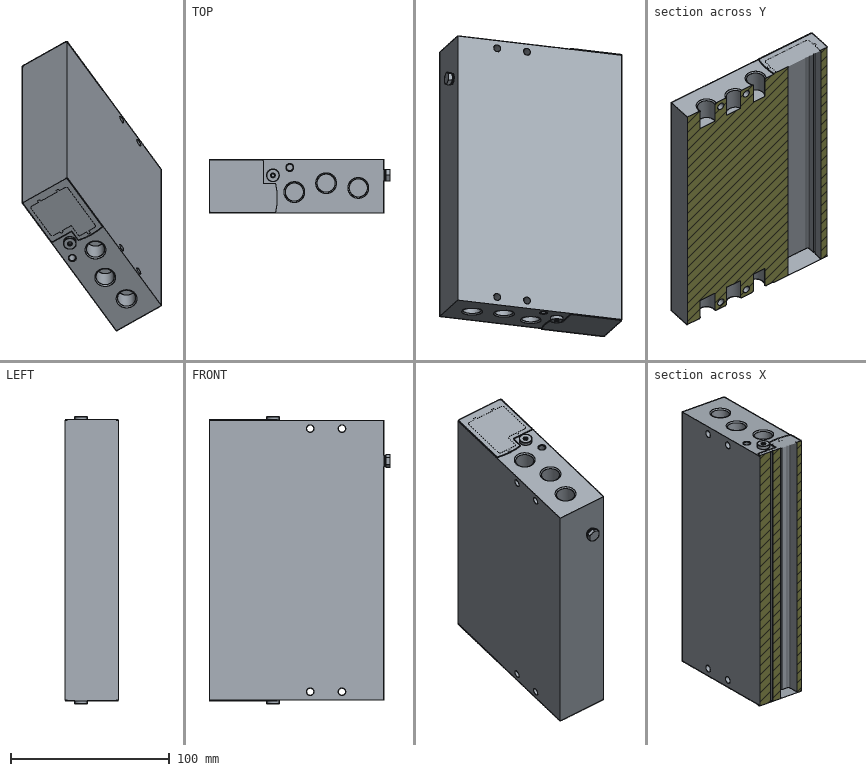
import cadquery as cq
import math

total_height = 181.0
screw_head_height = 2.4
housing_length = 110.0
housing_depth = 33.8
housing_height = total_height - 2 * screw_head_height
end_face = housing_height / 2

pad_height = 0.6
pad_inset = 0.3
pad_corner_radius = 1.0
pad_short_length = 34.1
pad_long_length = 41.8
pad_arc_bulge = 1.0
pad_step_y = 18.5

chamber_lid = 0.7
chamber_height = housing_height + 2 * (pad_height - chamber_lid)
chamber_left = 5.4
chamber_front = 3.7
chamber_back = 31.2
chamber_step_y = 16.6
chamber_short_right = 30.6
chamber_long_right = 39.7
chamber_corner_radius = 1.5
guide_slot_width = 1.6
guide_slot_depth = 1.3
long_guide_slot_depth = 1.9
back_guide_y = 24.1
front_guide_y = 10.1

port_diameter = 11.45
port_mouth_diameter = 13.1
port_chamfer = (port_mouth_diameter - port_diameter) / 2
port_depth = 15.0
port_centres = [(53.6, 13.2), (73.6, 18.8), (93.9, 15.8)]

pilot_diameter = 4.13
pilot_mouth_diameter = 5.0
pilot_chamfer = (pilot_mouth_diameter - pilot_diameter) / 2
pilot_depth = 8.0
pilot_centre = (50.7, 28.7)

mounting_diameter = 4.5
mounting_xs = [63.6, 83.6]
mounting_z = end_face - 5.2

screw_head_diameter = 8.0
screw_edge_chamfer = 0.15
screw_socket_flats = 2.0
screw_socket_depth = 1.5
screw_socket_mouth_diameter = 3.0
screw_socket_mouth_angle = 45
screw_socket_mouth_depth = (screw_socket_mouth_diameter - screw_socket_flats) / 2
screw_centre = (40.1, 23.7)

plug_length = 4.0
plug_collar_length = 0.6
plug_neck_length = 0.6
plug_neck_diameter = 6.6
plug_shank_length = plug_collar_length + plug_neck_length
plug_hex_length = plug_length - plug_shank_length
plug_collar_diameter = 7.0
plug_hex_flats = 7.3
plug_hex_corners = plug_hex_flats / math.cos(math.pi / 6)
plug_hex_chamfer = 0.3
plug_y = 23.8
plug_z = end_face - 25.6


def at_both_ends(upper):
    """The given upper-end shape and its mirror image at the lower end."""
    return [upper, upper.mirror("XY")]


def make_pad():
    back = housing_depth - pad_inset
    arc_middle = (pad_long_length + pad_arc_bulge, (pad_inset + pad_step_y) / 2)
    return (
        cq.Workplane("XY", origin=(0, 0, end_face))
        .moveTo(0, pad_inset)
        .lineTo(pad_long_length, pad_inset)
        .threePointArc(arc_middle, (pad_long_length, pad_step_y))
        .lineTo(pad_short_length, pad_step_y)
        .lineTo(pad_short_length, back)
        .lineTo(0, back)
        .close()
        .extrude(pad_height)
        .edges("|Z")
        .edges("<X or >Y")
        .fillet(pad_corner_radius)
    )


def chamber_block(left, right, front, back):
    return (
        cq.Workplane("XY", origin=(0, 0, -chamber_height / 2))
        .moveTo((left + right) / 2, (front + back) / 2)
        .rect(right - left, back - front)
        .extrude(chamber_height)
    )


def make_chamber():
    wide_part = chamber_block(chamber_left, chamber_long_right, chamber_front, chamber_step_y)
    narrow_part = chamber_block(chamber_left, chamber_short_right, chamber_front, chamber_back)
    chamber = wide_part.union(narrow_part)
    chamber = chamber.edges("|Z").edges("<X or <Y or >Y").fillet(chamber_corner_radius)
    guide_ends = [
        (back_guide_y, chamber_short_right + guide_slot_depth),
        (front_guide_y, chamber_long_right + long_guide_slot_depth),
    ]
    for guide_y, guide_right in guide_ends:
        guides = chamber_block(
            chamber_left - guide_slot_depth,
            guide_right,
            guide_y - guide_slot_width / 2,
            guide_y + guide_slot_width / 2,
        )
        chamber = chamber.union(guides)
    return chamber


def end_hole(centre, diameter, depth, chamfer):
    """Blind hole down from the upper end face, with a conical mouth."""
    radius = diameter / 2
    return (
        cq.Workplane("XZ", origin=(*centre, end_face))
        .polyline([
            (0, 0),
            (radius + chamfer, 0),
            (radius, -chamfer),
            (radius, -depth),
            (0, -depth),
        ])
        .close()
        .revolve(360, (0, 0), (0, 1))
    )


def make_housing():
    body = cq.Workplane("XY").box(
        housing_length, housing_depth, housing_height, centered=(False, False, True)
    )
    for pad in at_both_ends(make_pad()):
        body = body.union(pad)
    body = body.cut(make_chamber())
    holes = [end_hole(centre, port_diameter, port_depth, port_chamfer) for centre in port_centres]
    holes.append(end_hole(pilot_centre, pilot_diameter, pilot_depth, pilot_chamfer))
    for upper_hole in holes:
        for hole in at_both_ends(upper_hole):
            body = body.cut(hole)
    mounting_holes = (
        cq.Workplane("XZ")
        .pushPoints([(x, z) for x in mounting_xs for z in (-mounting_z, mounting_z)])
        .circle(mounting_diameter / 2)
        .extrude(-housing_depth)
    )
    return body.cut(mounting_holes)


def make_screw():
    socket_corners = screw_socket_flats / math.cos(math.pi / 6)
    head = (
        cq.Workplane("XY", origin=(*screw_centre, end_face))
        .circle(screw_head_diameter / 2)
        .extrude(screw_head_height)
        .edges()
        .chamfer(screw_edge_chamfer)
    )
    socket_mouth = (
        cq.Workplane("XY", origin=(*screw_centre, end_face + screw_head_height))
        .circle(screw_socket_mouth_diameter / 2)
        .extrude(-screw_socket_mouth_depth, taper=screw_socket_mouth_angle)
    )
    return (
        head.faces(">Z")
        .workplane()
        .polygon(6, socket_corners)
        .cutBlind(-screw_socket_depth)
        .cut(socket_mouth)
    )


def make_plug():
    collar = (
        cq.Workplane("YZ", origin=(housing_length, plug_y, plug_z))
        .circle(plug_collar_diameter / 2)
        .extrude(plug_collar_length)
        .faces(">X")
        .workplane()
        .circle(plug_neck_diameter / 2)
        .extrude(plug_neck_length)
    )
    hex_plane = cq.Workplane("YZ", origin=(housing_length + plug_shank_length, plug_y, plug_z))
    hexagon = (
        hex_plane.transformed(rotate=(0, 0, 90))
        .polygon(6, plug_hex_corners)
        .extrude(plug_hex_length)
    )
    turned_blank = (
        hex_plane.circle(plug_hex_corners / 2)
        .extrude(plug_hex_length)
        .edges()
        .chamfer(plug_hex_chamfer)
    )
    return collar.union(hexagon.intersect(turned_blank))


housing = make_housing()
screws = at_both_ends(make_screw())
plug = make_plug()

result = cq.Compound.makeCompound([housing.val(), *[screw.val() for screw in screws], plug.val()])